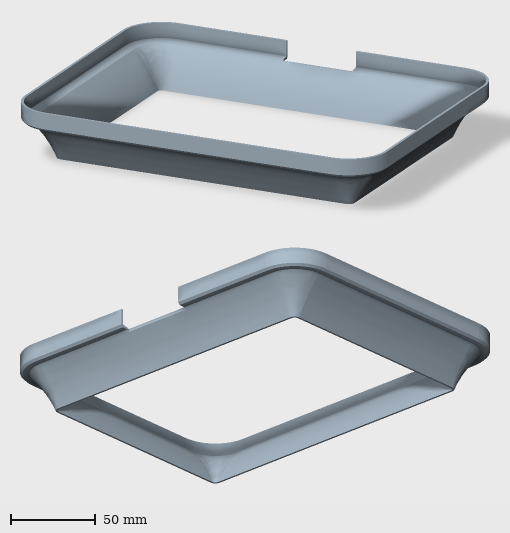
import cadquery as cq
import math

length = 237.0
width = 183.0
height = 35.0
corner_radius = 25.1

rim_height = 11.4
rim_wall = 1.7
rim_chamfer = 1.5
ledge_thickness = 2.0
ledge_drop = 1.5
ledge_inner_inset = 7.5

skirt_top_inset = 5.5
skirt_bottom_inset = 21.0
opening_inset = 22.5
skirt_bow = 1.5

notch_width = 45.5
notch_depth = 6.6

rim_bottom = height - rim_height
ledge_top = rim_bottom + ledge_thickness


def bowed_midpoint(start, end):
    """Middle of a skirt arc, bowed inward and upward from its chord."""
    run = abs(end[0] - start[0])
    rise = abs(end[1] - start[1])
    chord = math.hypot(run, rise)
    return (
        (start[0] + end[0]) / 2 + skirt_bow * rise / chord,
        (start[1] + end[1]) / 2 + skirt_bow * run / chord,
    )


def make_ring():
    """Sweep the wall section around the rounded rectangular perimeter."""
    skirt_top = (skirt_top_inset, rim_bottom)
    skirt_bottom = (skirt_bottom_inset, 0)
    opening_edge = (opening_inset, 0)
    ledge_edge = (ledge_inner_inset, ledge_top - ledge_drop)

    section_plane = cq.Plane(origin=(-length / 2, 0, 0), xDir=(1, 0, 0), normal=(0, -1, 0))
    section = (
        cq.Workplane(section_plane)
        .moveTo(0, height)
        .lineTo(0, rim_bottom + rim_chamfer)
        .lineTo(rim_chamfer, rim_bottom)
        .lineTo(*skirt_top)
        .threePointArc(bowed_midpoint(skirt_top, skirt_bottom), skirt_bottom)
        .lineTo(*opening_edge)
        .threePointArc(bowed_midpoint(ledge_edge, opening_edge), ledge_edge)
        .lineTo(rim_wall, ledge_top)
        .lineTo(rim_wall, height)
        .close()
    )

    half_length = length / 2
    half_width = width / 2
    straight_x = half_length - corner_radius
    straight_y = half_width - corner_radius
    path = (
        cq.Workplane("XY")
        .moveTo(-half_length, 0)
        .lineTo(-half_length, -straight_y)
        .radiusArc((-straight_x, -half_width), -corner_radius)
        .lineTo(straight_x, -half_width)
        .radiusArc((half_length, -straight_y), -corner_radius)
        .lineTo(half_length, straight_y)
        .radiusArc((straight_x, half_width), -corner_radius)
        .lineTo(-straight_x, half_width)
        .radiusArc((-half_length, straight_y), -corner_radius)
        .close()
    )
    return section.sweep(path)


def make_notch():
    """Block that opens the rim and ledge at the middle of the +Y side."""
    return (
        cq.Workplane("XY")
        .center(0, width / 2)
        .rect(notch_width, 2 * notch_depth)
        .extrude(height)
    )


result = make_ring().cut(make_notch())